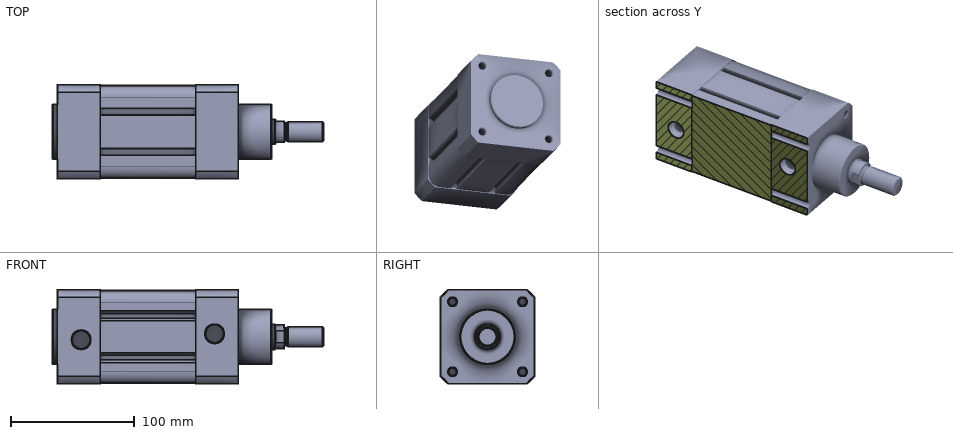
import cadquery as cq

total_length = 219.0
rear_boss_length = 4.0
cap_length = 34.5
barrel_length = 77.0
front_boss_length = 27.0
collar_length = 2.8

rear_cap_start = rear_boss_length
barrel_start = rear_cap_start + cap_length
front_cap_start = barrel_start + barrel_length
front_boss_start = front_cap_start + cap_length
front_boss_end = front_boss_start + front_boss_length
collar_end = front_boss_end + collar_length

cap_width = 76.0
cap_corner_radius = 49.5
boss_radius = 22.3
boss_chamfer = 0.7
collar_radius = 10.3
collar_chamfer = 0.7

bolt_hole_radius = 3.0
bolt_hole_offset = 28.3

port_radius = 7.2
port_depth = 17.5
hole_chamfer = 0.7
port_height = 2.5
port_inset = 19.3
rear_port_x = rear_cap_start + port_inset
front_port_x = front_boss_start - port_inset

barrel_width = 75.0
barrel_corner_radius = 9.6
side_slot_offset = 16.9
side_slot_depth = 4.4
side_slot_mouth = 7.9
side_slot_floor = 3.7
tee_slot_offset = 16.2
tee_slot_mouth = 5.3
tee_slot_width = 6.1
tee_slot_depth = 4.8
tee_lip = 1.5

rod_radius = 9.9
rod_shoulder_end = 187.0
flat_width = 17.0
flat_start = 180.2
thread_radius = 8.0
thread_start = 190.3
thread_chamfer = 1.0
neck_radius = 7.2
neck_start_radius = 7.7
neck_start = 188.1
neck_end = 189.5


def cylinder_along_x(start, length, radius):
    return cq.Workplane("YZ", origin=(start, 0, 0)).circle(radius).extrude(length)


def make_cap_block(start):
    """Square block with its corners turned down to an arc about the axis."""
    block = cq.Workplane("YZ", origin=(start, 0, 0)).rect(cap_width, cap_width).extrude(cap_length)
    return block.intersect(cylinder_along_x(start, cap_length, cap_corner_radius))


def make_hole_tool(radius, depth):
    """Cutter along +X whose mouth, at the origin, widens in a small countersink."""
    mouth_radius = radius + hole_chamfer
    outline = [(0, 0), (0, mouth_radius), (hole_chamfer, radius), (depth, radius), (depth, 0)]
    return cq.Workplane("XY").polyline(outline).close().revolve(360, (0, 0, 0), (1, 0, 0))


def cut_bolt_holes(cap, mouth_x, turn):
    """Four through holes entered from the outer face at mouth_x; turn 0 points them to +X, 180 to -X."""
    tool = make_hole_tool(bolt_hole_radius, cap_length).rotate((0, 0, 0), (0, 0, 1), turn)
    for y in (-bolt_hole_offset, bolt_hole_offset):
        for z in (-bolt_hole_offset, bolt_hole_offset):
            cap = cap.cut(tool.translate((mouth_x, y, z)))
    return cap


def cut_port(cap, x, z):
    """Blind air port bored from the -Y side."""
    tool = make_hole_tool(port_radius, port_depth).rotate((0, 0, 0), (0, 0, 1), 90)
    return cap.cut(tool.translate((x, -cap_width / 2, z)))


def make_rear_cap():
    boss = cylinder_along_x(0, rear_boss_length, boss_radius).faces("<X").chamfer(boss_chamfer)
    cap = make_cap_block(rear_cap_start).union(boss)
    cap = cut_bolt_holes(cap, rear_cap_start, 0)
    return cut_port(cap, rear_port_x, -port_height)


def make_front_cap():
    boss = cylinder_along_x(front_boss_start, front_boss_length, boss_radius)
    boss = boss.faces(">X").chamfer(boss_chamfer)
    collar = cylinder_along_x(front_boss_end, collar_length, collar_radius)
    collar = collar.faces(">X").chamfer(collar_chamfer)
    rod_bore = cylinder_along_x(front_cap_start, collar_end - front_cap_start, rod_radius)
    cap = make_cap_block(front_cap_start).union(boss).union(collar).cut(rod_bore)
    cap = cut_bolt_holes(cap, front_boss_start, 180)
    return cut_port(cap, front_port_x, port_height)


def extrude_slot(half_outline, offset):
    """Slot in the +Z face: (half width, depth) points mirrored about its middle."""
    top = barrel_width / 2
    right = [(offset + half, top - depth) for half, depth in half_outline]
    left = [(offset - half, top - depth) for half, depth in reversed(half_outline)]
    face = cq.Workplane("YZ", origin=(barrel_start, 0, 0))
    return face.polyline(right + left).close().extrude(barrel_length)


def make_barrel():
    barrel = cq.Workplane("YZ", origin=(barrel_start, 0, 0)).rect(barrel_width, barrel_width)
    barrel = barrel.extrude(barrel_length).edges("|X").fillet(barrel_corner_radius)
    tapered_outline = [(side_slot_mouth / 2, 0), (side_slot_floor / 2, side_slot_depth)]
    tee_outline = [
        (tee_slot_mouth / 2, 0),
        (tee_slot_mouth / 2, tee_lip),
        (tee_slot_width / 2, tee_lip),
        (tee_slot_width / 2, tee_slot_depth),
    ]
    for side in (-1, 1):
        tapered_slot = extrude_slot(tapered_outline, side * side_slot_offset)
        tee_slot = extrude_slot(tee_outline, side * tee_slot_offset)
        for turn in (0, 180):
            barrel = barrel.cut(tee_slot.rotate((0, 0, 0), (1, 0, 0), turn))
            barrel = barrel.cut(tapered_slot.rotate((0, 0, 0), (1, 0, 0), turn + 90))
    return barrel


def make_rod():
    outline = [
        (front_cap_start, 0),
        (front_cap_start, rod_radius),
        (rod_shoulder_end, rod_radius),
        (rod_shoulder_end, neck_start_radius),
        (neck_start, neck_radius),
        (neck_end, neck_radius),
        (thread_start, thread_radius),
        (total_length - thread_chamfer, thread_radius),
        (total_length, thread_radius - thread_chamfer),
        (total_length, 0),
    ]
    rod = cq.Workplane("XY").polyline(outline).close().revolve(360, (0, 0, 0), (1, 0, 0))
    flat_length = rod_shoulder_end - flat_start
    flat_middle = (flat_start + rod_shoulder_end) / 2
    for side in (-1, 1):
        waste = cq.Workplane("XY").box(flat_length, rod_radius, 2 * rod_radius)
        rod = rod.cut(waste.translate((flat_middle, side * (flat_width + rod_radius) / 2, 0)))
    return rod


rear_cap = make_rear_cap()
barrel = make_barrel()
front_cap = make_front_cap()
rod = make_rod()

result = cq.Compound.makeCompound([rear_cap.val(), barrel.val(), front_cap.val(), rod.val()])